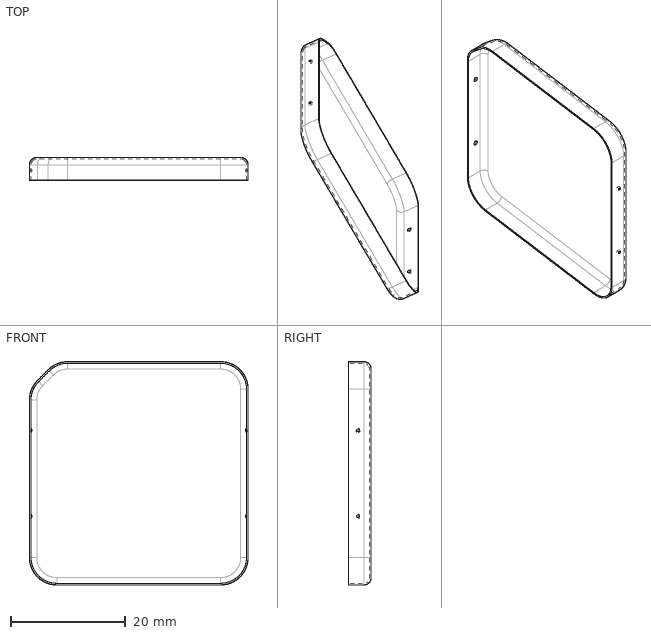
import cadquery as cq
import math

WIDTH = 38.2
DEPTH = 4.0
HEIGHT = 39.0

WALL = 0.3
CORNER_RADIUS = 4.8
BACK_EDGE_RADIUS = 1.3
INNER_EDGE_RADIUS = BACK_EDGE_RADIUS - WALL

CORNER_CUT = 4.7

PIP_SPACING = 15.0
PIP_FROM_RIM = 1.7
PIP_DEPTH = 0.15
DIMPLE_SPHERE_RADIUS = 0.25
BUMP_SPHERE_RADIUS = DIMPLE_SPHERE_RADIUS + WALL

RIM_Y = -DEPTH / 2


def rounded_plate(inset, length, back_edge_radius):
    """Plate with the tray outline moved inward by inset, running from the rim toward +Y."""
    half_width = WIDTH / 2 - inset
    half_height = HEIGHT / 2 - inset
    cut = CORNER_CUT - inset * (2 - math.sqrt(2))
    outline = [
        (-half_width, -half_height),
        (half_width, -half_height),
        (half_width, half_height),
        (-half_width + cut, half_height),
        (-half_width, half_height - cut),
    ]
    plate = (
        cq.Workplane("XZ", origin=(0, RIM_Y, 0))
        .polyline(outline)
        .close()
        .extrude(-length)
    )
    plate = plate.edges("|Y").fillet(CORNER_RADIUS - inset)
    return plate.faces(">Y").edges().fillet(back_edge_radius)


def pip_sphere(radius, side, z):
    """Sphere centred just outside a side wall, its pole axis square to the wall."""
    center_x = side * (WIDTH / 2 + DIMPLE_SPHERE_RADIUS - PIP_DEPTH)
    sphere = cq.Workplane("XY").sphere(radius, direct=(-side, 0, 0))
    return sphere.translate((center_x, RIM_Y + PIP_FROM_RIM, z))


def add_pip(tray, side, z):
    """Press one pip into the side wall at X = side * WIDTH / 2 (side is -1 or +1)."""
    inside_envelope = cq.Workplane("XY").box(WIDTH, DEPTH, HEIGHT)
    bump = pip_sphere(BUMP_SPHERE_RADIUS, side, z).intersect(inside_envelope)
    dimple = pip_sphere(DIMPLE_SPHERE_RADIUS, side, z)
    return tray.union(bump).cut(dimple)


shell = rounded_plate(0, DEPTH, BACK_EDGE_RADIUS)
cavity = rounded_plate(WALL, DEPTH - WALL, INNER_EDGE_RADIUS)
result = shell.cut(cavity)

for wall_side in (-1, 1):
    for pip_z in (-PIP_SPACING / 2, PIP_SPACING / 2):
        result = add_pip(result, wall_side, pip_z)